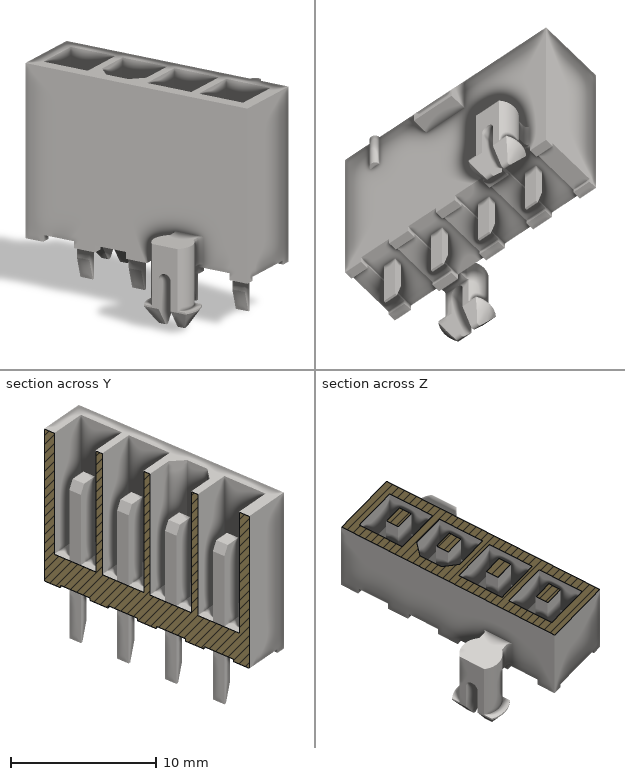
import cadquery as cq
import math

LENGTH = 18.0
DEPTH = 5.4
HEIGHT = 12.8
BACK = DEPTH / 2

CIRCUITS = 4
ROW_SPAN = 12.6
PITCH = ROW_SPAN / (CIRCUITS - 1)
circuit_x = [i * PITCH - ROW_SPAN / 2 for i in range(CIRCUITS)]

SOCKET_SIZE = 3.6
SOCKET_FLOOR = 2.88
KEYED_CIRCUIT = 1
KEY_CHAMFER = 0.9

CHANNEL_WIDTH = 4.0
CHANNEL_HEIGHT = 0.3
NOTCH_WIDTH = 2.52
NOTCH_HEIGHT = 0.5

CONTACT_WIDTH = 1.0
CONTACT_BACK = 1.13
BLADE_THICKNESS = 1.57
BLADE_TOP = 9.36
BLADE_BEVEL_DEPTH = 0.38
BLADE_BEVEL_HEIGHT = 0.72
TAIL_THICKNESS = 0.63
TAIL_TIP_THICKNESS = 0.18
TAIL_BEVEL_TOP = -1.96
TAIL_END = -3.51

LATCH_WIDTH = 3.38
LATCH_REACH = 1.39
LATCH_BOTTOM = HEIGHT - 3.06
LATCH_RAMP_BOTTOM = HEIGHT - 2.34

RIB_RADIUS = 0.4

PEG_Y = 4.7
PEG_HALF_THICKNESS = 1.08
PEG_TOP = 2.75
POST_RADIUS = 1.5
BARB_RADIUS = 2.0
BARB_TOP = -1.78
BARB_RIM_BOTTOM = -1.9
PEG_END = -3.33
BARB_END_RADIUS = 1.0
BARB_FLAT_TAPER = math.radians(33.4)
BARB_TIP_RADIUS = 0.25
PEG_SLOT_WIDTH = 0.97
PEG_SLOT_TOP = 0.74
WEB_HALF_WIDTH = 0.95
WEB_BOTTOM = 0.74
WEB_FILLET_AT_POST = 0.2
WEB_FILLET_AT_BODY = 0.29
PEG_PLACES = ((0, 180), (2.5, 0))


def side_profile(points, width):
    """Closed (Y, Z) outline extruded along X, centred on X = 0."""
    return cq.Workplane("YZ").polyline(points).close().extrude(width / 2, both=True)


def box(width, depth, bottom, top):
    """Box centred on X and Y between two heights."""
    return cq.Workplane("XY").workplane(offset=bottom).rect(width, depth).extrude(top - bottom)


def make_socket(keyed):
    socket = box(SOCKET_SIZE, SOCKET_SIZE, SOCKET_FLOOR, HEIGHT)
    if keyed:
        socket = socket.edges("|Z and <Y").chamfer(KEY_CHAMFER)
    return socket


def make_housing():
    housing = box(LENGTH, DEPTH, 0, HEIGHT)
    housing = housing.cut(box(LENGTH, CHANNEL_WIDTH, 0, CHANNEL_HEIGHT))
    for i, x in enumerate(circuit_x):
        housing = housing.cut(box(NOTCH_WIDTH, DEPTH, 0, NOTCH_HEIGHT).translate((x, 0, 0)))
        housing = housing.cut(make_socket(i == KEYED_CIRCUIT).translate((x, 0, 0)))
    return housing


def make_contact():
    blade_front = CONTACT_BACK - BLADE_THICKNESS
    tail_front = CONTACT_BACK - TAIL_THICKNESS
    return side_profile(
        [
            (CONTACT_BACK, TAIL_END),
            (CONTACT_BACK, BLADE_TOP - BLADE_BEVEL_HEIGHT),
            (CONTACT_BACK - BLADE_BEVEL_DEPTH, BLADE_TOP),
            (blade_front, BLADE_TOP),
            (blade_front, SOCKET_FLOOR),
            (tail_front, SOCKET_FLOOR),
            (tail_front, TAIL_BEVEL_TOP),
            (CONTACT_BACK - TAIL_TIP_THICKNESS, TAIL_END),
        ],
        CONTACT_WIDTH,
    )


def make_latch():
    return side_profile(
        [
            (BACK, HEIGHT),
            (BACK + LATCH_REACH, LATCH_RAMP_BOTTOM),
            (BACK + LATCH_REACH, LATCH_BOTTOM),
            (BACK, LATCH_BOTTOM),
        ],
        LATCH_WIDTH,
    )


def make_rib():
    """Round rib half sunk in the back face, as tall as the latch."""
    rib = cq.Workplane("XY").workplane(offset=LATCH_BOTTOM).circle(RIB_RADIUS)
    rib = rib.extrude(HEIGHT - LATCH_BOTTOM)
    return rib.translate((circuit_x[-1], BACK, 0))


def make_post():
    """Round barbed post, flattened front and back, tapered to a rounded edge and split by a slot."""
    turned = (
        cq.Workplane("XZ")
        .polyline(
            [
                (0, PEG_TOP),
                (POST_RADIUS, PEG_TOP),
                (POST_RADIUS, BARB_TOP),
                (BARB_RADIUS, BARB_TOP),
                (BARB_RADIUS, BARB_RIM_BOTTOM),
                (BARB_END_RADIUS, PEG_END),
                (0, PEG_END),
            ]
        )
        .close()
        .revolve(360, (0, 0, 0), (0, 1, 0))
    )
    tip_half = BARB_TIP_RADIUS * math.cos(BARB_FLAT_TAPER)
    tip_top = PEG_END + BARB_TIP_RADIUS * (1 - math.sin(BARB_FLAT_TAPER))
    flats = (
        cq.Workplane("YZ")
        .moveTo(-tip_half, tip_top)
        .lineTo(-PEG_HALF_THICKNESS, BARB_RIM_BOTTOM)
        .lineTo(-PEG_HALF_THICKNESS, PEG_TOP)
        .lineTo(PEG_HALF_THICKNESS, PEG_TOP)
        .lineTo(PEG_HALF_THICKNESS, BARB_RIM_BOTTOM)
        .lineTo(tip_half, tip_top)
        .threePointArc((0, PEG_END), (-tip_half, tip_top))
        .close()
        .extrude(BARB_RADIUS, both=True)
    )
    slot_half = PEG_SLOT_WIDTH / 2
    slot = (
        cq.Workplane("XZ")
        .moveTo(-slot_half, PEG_END)
        .lineTo(-slot_half, PEG_SLOT_TOP - slot_half)
        .threePointArc((0, PEG_SLOT_TOP), (slot_half, PEG_SLOT_TOP - slot_half))
        .lineTo(slot_half, PEG_END)
        .close()
        .extrude(PEG_HALF_THICKNESS, both=True)
    )
    return turned.intersect(flats).cut(slot)


def make_web():
    """Web from the post axis (Y = 0) to the housing face, with concave fillets at both ends."""
    face_y = PEG_Y - BACK
    fillet_x = WEB_HALF_WIDTH + WEB_FILLET_AT_POST
    fillet_gap = POST_RADIUS + WEB_FILLET_AT_POST
    fillet_y = math.sqrt(fillet_gap**2 - fillet_x**2)
    touch_x = fillet_x * POST_RADIUS / fillet_gap
    touch_y = fillet_y * POST_RADIUS / fillet_gap
    half = (
        cq.Workplane("XY")
        .workplane(offset=WEB_BOTTOM)
        .lineTo(touch_x, 0)
        .lineTo(touch_x, touch_y)
        .radiusArc((WEB_HALF_WIDTH, fillet_y), WEB_FILLET_AT_POST)
        .lineTo(WEB_HALF_WIDTH, face_y - WEB_FILLET_AT_BODY)
        .radiusArc((WEB_HALF_WIDTH + WEB_FILLET_AT_BODY, face_y), WEB_FILLET_AT_BODY)
        .lineTo(0, face_y)
        .close()
        .extrude(PEG_TOP - WEB_BOTTOM)
    )
    return half.union(half.mirror("YZ"))


def make_peg():
    """Front peg at X = 0; the web fills only the gap between the post and the housing."""
    gap = PEG_Y - BACK
    web = make_web().intersect(
        box(2 * BARB_RADIUS, gap, WEB_BOTTOM, PEG_TOP).translate((0, PEG_HALF_THICKNESS + gap / 2, 0))
    )
    return make_post().union(web).translate((0, -PEG_Y, 0))


result = make_housing().union(make_latch()).union(make_rib())
for x in circuit_x:
    result = result.union(make_contact().translate((x, 0, 0)))
for pitches, turn in PEG_PLACES:
    peg_x = circuit_x[0] + pitches * PITCH
    result = result.union(make_peg().rotate((0, 0, 0), (0, 0, 1), turn).translate((peg_x, 0, 0)))